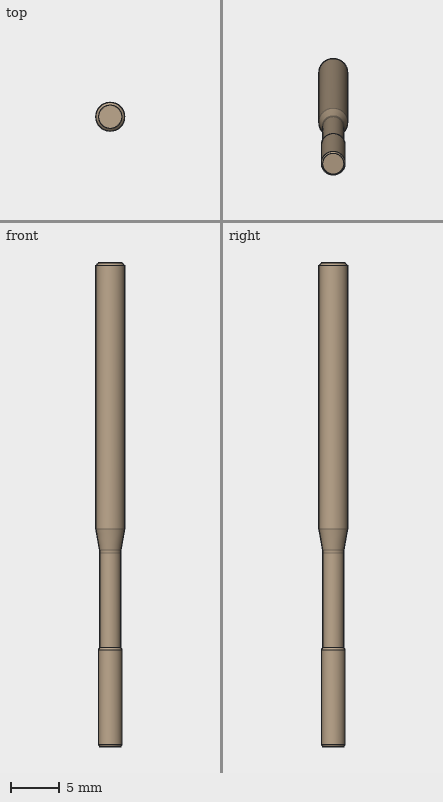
import cadquery as cq
import math

overall_length = 50.0
cutting_length = 10.0
neck_end = 20.0

shank_radius = 3.0 / 2
neck_radius = 2.18 / 2
cutter_radius = 2.48 / 2

taper_half_angle = math.radians(10)
neck_blend_radius = 2.0

cutter_chamfer_width = cutter_radius - neck_radius
cutter_chamfer_height = cutter_chamfer_width * math.tan(math.radians(60))
shank_chamfer = 0.3


def blend_point(angle):
    """Point (radius, height) on the blend arc where its tangent leans outward by the given angle."""
    return (
        neck_radius + neck_blend_radius * (1 - math.cos(angle)),
        neck_end + neck_blend_radius * math.sin(angle),
    )


def make_cutting_head():
    """Cylindrical cutting head with a chamfered tip."""
    return (
        cq.Workplane("XZ")
        .moveTo(0, 0)
        .lineTo(cutter_radius - cutter_chamfer_width, 0)
        .lineTo(cutter_radius, cutter_chamfer_height)
        .lineTo(cutter_radius, cutting_length)
        .lineTo(0, cutting_length)
        .close()
        .revolve(360, (0, 0, 0), (0, 1, 0))
    )


def make_shank():
    """Shank with a conical shoulder, a slim neck, a blended taper and a chamfered top end."""
    cone_start = blend_point(taper_half_angle)
    cone_height = (shank_radius - cone_start[0]) / math.tan(taper_half_angle)
    taper_end = cone_start[1] + cone_height
    return (
        cq.Workplane("XZ")
        .moveTo(0, cutting_length)
        .lineTo(cutter_radius, cutting_length)
        .lineTo(neck_radius, cutting_length + cutter_chamfer_height)
        .lineTo(neck_radius, neck_end)
        .threePointArc(blend_point(taper_half_angle / 2), cone_start)
        .lineTo(shank_radius, taper_end)
        .lineTo(shank_radius, overall_length - shank_chamfer)
        .lineTo(shank_radius - shank_chamfer, overall_length)
        .lineTo(0, overall_length)
        .close()
        .revolve(360, (0, 0, 0), (0, 1, 0))
    )


cutting_head = make_cutting_head()
shank = make_shank()

result = cq.Compound.makeCompound([cutting_head.val(), shank.val()])